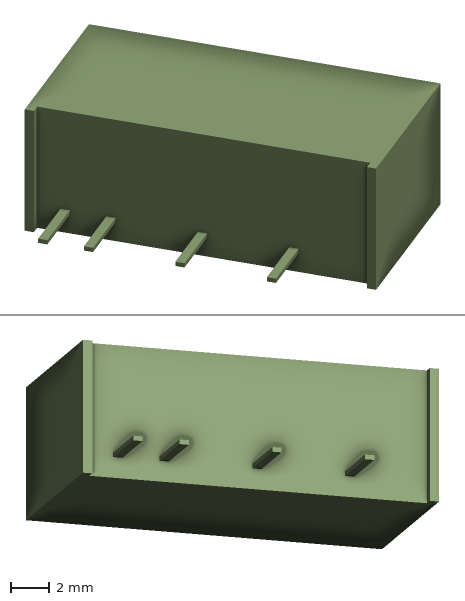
import cadquery as cq

case_length = 19.5
case_depth = 10.0
case_height = 7.2

lip_thickness = 0.5
lip_depth = 0.5

pin_width = 0.5
pin_thickness = 0.25
pin_reach = 3.0
pin_row_span = 12.7
first_pin_x = 2.07
pin_center_z = 1.25
pin_positions = (0, 1, 3, 5)
pin_pitch = pin_row_span / pin_positions[-1]


def make_case():
    """Plain block with a shallow recess between the two end lips."""
    block = cq.Workplane("XY").box(case_length, case_depth, case_height, centered=False)
    recess = (
        cq.Workplane("XY")
        .box(case_length - 2 * lip_thickness, lip_depth, case_height, centered=False)
        .translate((lip_thickness, 0, 0))
    )
    return block.cut(recess)


def make_pin(position):
    """Flat pin running forward from the recessed front face."""
    pin_length = pin_reach + lip_depth
    pin_x = first_pin_x + position * pin_pitch
    return (
        cq.Workplane("XY")
        .box(pin_width, pin_length, pin_thickness, centered=(True, False, True))
        .translate((pin_x, -pin_reach, pin_center_z))
    )


result = make_case()
for position in pin_positions:
    result = result.union(make_pin(position))